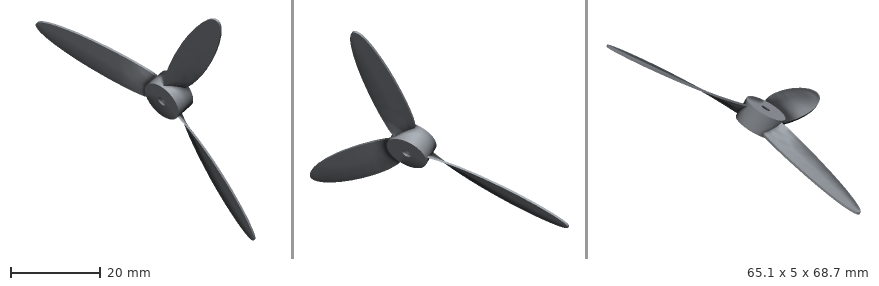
import cadquery as cq
import math


hub_diameter = 10.0
hub_length = 5.0
bore_diameter = 2.2

blade_count = 3
tip_radius = 40.0
blade_root_radius = 2.5
blade_width = 7.65
first_blade_angle = 69.0
helix_pitch = 30.0
axial_thickness = 0.5

blade_length = tip_radius - blade_root_radius
blade_centre_radius = (tip_radius + blade_root_radius) / 2
blade_angles = [first_blade_angle + i * 360.0 / blade_count for i in range(blade_count)]

sheet_margin = 0.5
sheet_inner_radius = blade_root_radius - sheet_margin
sheet_outer_radius = tip_radius + sheet_margin
sheet_half_angle = 180.0 * axial_thickness / helix_pitch
sheet_twist = 360.0 * hub_length / helix_pitch


def polar(radius, angle):
    """Point at a radius and an angle in degrees from the local x axis."""
    return (radius * math.cos(math.radians(angle)), radius * math.sin(math.radians(angle)))


def make_hub_cylinder(diameter):
    return cq.Workplane("XZ").circle(diameter / 2).extrude(hub_length / 2, both=True)


def make_helical_sheet():
    """Sheet of constant axial thickness that crosses +X at mid-length of the hub."""
    start_angle = -sheet_twist / 2 - sheet_half_angle
    mid_angle = -sheet_twist / 2
    end_angle = -sheet_twist / 2 + sheet_half_angle
    return (
        cq.Workplane("XZ", origin=(0, hub_length / 2, 0))
        .moveTo(*polar(sheet_inner_radius, start_angle))
        .lineTo(*polar(sheet_outer_radius, start_angle))
        .threePointArc(polar(sheet_outer_radius, mid_angle), polar(sheet_outer_radius, end_angle))
        .lineTo(*polar(sheet_inner_radius, end_angle))
        .threePointArc(polar(sheet_inner_radius, mid_angle), polar(sheet_inner_radius, start_angle))
        .close()
        .twistExtrude(hub_length, sheet_twist)
    )


def make_blade():
    """Blade that points along +X."""
    outline = (
        cq.Workplane("XZ")
        .center(blade_centre_radius, 0)
        .ellipse(blade_length / 2, blade_width / 2)
        .extrude(hub_length / 2, both=True)
    )
    return make_helical_sheet().intersect(outline)


propeller = make_hub_cylinder(hub_diameter)
blade = make_blade()
for angle in blade_angles:
    propeller = propeller.union(blade.rotate((0, 0, 0), (0, 1, 0), -angle))

result = propeller.cut(make_hub_cylinder(bore_diameter))